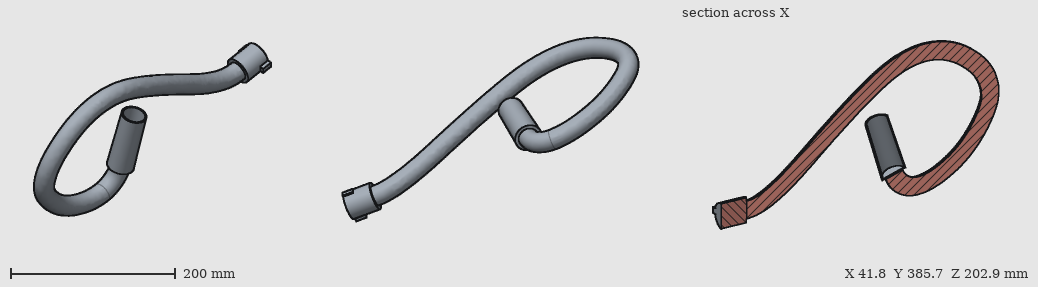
import cadquery as cq
import math


TUBE_DIAMETER = 25.0
END_BEND_RADIUS = 33.5
BEND_POINTS = [
    (-73.5, 14.0),
    (-129.5, 58.5),
    (-166.5, 90.5),
    (-204.0, 120.3),
    (-245.5, 145.7),
    (-287.5, 154.2),
    (-320.0, 146.5),
    (-344.0, 131.0),
    (-363.5, 109.0),
    (-373.0, 73.0),
    (-363.5, 45.5),
    (-341.5, 13.5),
    (-310.8, -11.0),
]

COLLAR_DIAMETER = 34.7
COLLAR_LENGTH = 35.0
KEY_LENGTH = 14.0
SMALL_KEY_REACH = 19.3
SMALL_KEY_HEIGHT = 7.0
LARGE_KEY_REACH = 22.5
LARGE_KEY_HEIGHT = 8.0

SOCKET_LENGTH = 80.5
SOCKET_TILT = 17.1
SOCKET_BASE = (-240.0, 0.0)
SOCKET_BASE_DIAMETER = 34.0
SOCKET_RIM_DIAMETER = 31.2
SOCKET_WALL = 2.0
SOCKET_FLOOR = 2.0

tilt = math.radians(SOCKET_TILT)
socket_axis = cq.Vector(0, math.sin(tilt), math.cos(tilt))


def make_tube():
    """Round bar swept along a smooth planar curve that ends in an arc, square to both fittings."""
    lowest = (
        SOCKET_BASE[0] - END_BEND_RADIUS * math.cos(tilt),
        SOCKET_BASE[1] - END_BEND_RADIUS * (1 - math.sin(tilt)),
    )
    path = (
        cq.Workplane("YZ")
        .spline(
            [(-COLLAR_LENGTH, 0.0), *BEND_POINTS, lowest],
            tangents=[(-1, 0), (1, 0)],
            scale=False,
        )
        .tangentArcPoint(SOCKET_BASE, relative=False)
    )
    start = cq.Workplane("XZ", origin=(0, -COLLAR_LENGTH, 0))
    return start.circle(TUBE_DIAMETER / 2).sweep(path)


def make_key(side, reach, height):
    """Key with a rounded tip, standing out from the collar towards side * X."""
    blank = cq.Workplane("XZ").circle(reach).extrude(KEY_LENGTH)
    slab = cq.Workplane("XZ").center(side * reach / 2, 0).rect(reach, height).extrude(KEY_LENGTH)
    return blank.intersect(slab)


def make_collar():
    """Plain cylinder with a small key on -X and a large one on +X."""
    collar = cq.Workplane("XZ").circle(COLLAR_DIAMETER / 2).extrude(COLLAR_LENGTH)
    collar = collar.union(make_key(-1, SMALL_KEY_REACH, SMALL_KEY_HEIGHT))
    return collar.union(make_key(1, LARGE_KEY_REACH, LARGE_KEY_HEIGHT))


def make_socket():
    """Thin-walled tapered cup whose floor rests on the end of the tube."""
    base_radius = SOCKET_BASE_DIAMETER / 2
    rim_radius = SOCKET_RIM_DIAMETER / 2
    taper_per_length = (base_radius - rim_radius) / SOCKET_LENGTH
    floor_radius = base_radius - SOCKET_WALL - taper_per_length * SOCKET_FLOOR
    profile_normal = cq.Vector(1, 0, 0).cross(socket_axis)
    profile_plane = cq.Plane(
        origin=(0, *SOCKET_BASE),
        xDir=(1, 0, 0),
        normal=profile_normal.toTuple(),
    )
    profile = cq.Workplane(profile_plane).polyline(
        [
            (0, 0),
            (base_radius, 0),
            (rim_radius, SOCKET_LENGTH),
            (rim_radius - SOCKET_WALL, SOCKET_LENGTH),
            (floor_radius, SOCKET_FLOOR),
            (0, SOCKET_FLOOR),
        ]
    )
    return profile.close().revolve(360, (0, 0), (0, 1))


tube = make_tube()
collar = make_collar()
socket = make_socket()

result = cq.Compound.makeCompound([tube.val(), collar.val(), socket.val()])